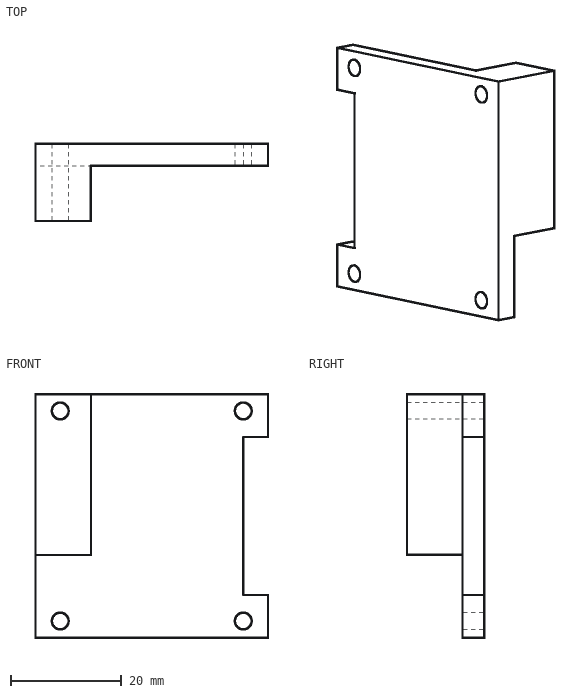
import cadquery as cq

width = 42.0
depth = 14.0
height = 44.0
plate_thickness = 4.0

block_width = 10.05
block_height = 29.05

notch_depth = 4.5
tab_height = 7.75

hole_diameter = 3.0
hole_side_inset = 4.5
hole_end_inset = 3.05


def box(x_size, y_size, z_size, corner):
    """Box placed by its lowest X, Y and Z corner."""
    return cq.Workplane("XY").box(x_size, y_size, z_size, centered=False).translate(corner)


plate = box(width, plate_thickness, height, (0, depth - plate_thickness, 0))
block = box(block_width, depth, block_height, (0, 0, height - block_height))
notch = box(notch_depth, depth, height - 2 * tab_height, (width - notch_depth, 0, tab_height))

hole_centres = [
    (x, z)
    for x in (hole_side_inset, width - hole_side_inset)
    for z in (hole_end_inset, height - hole_end_inset)
]
holes = (
    cq.Workplane("XZ")
    .pushPoints(hole_centres)
    .circle(hole_diameter / 2)
    .extrude(-depth)
)

result = plate.union(block).cut(notch).cut(holes)